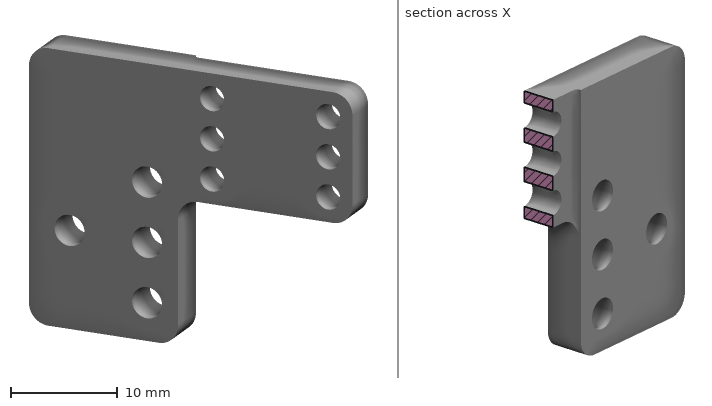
import cadquery as cq

overall_length = 33.4
overall_height = 27.6
leg_thickness = 4.0
leg_width = 15.4
arm_height = 13.0
corner_radius = 2.0

step_depth = 0.5

arm_hole_diameter = 2.5
arm_hole_top_inset = 2.5
arm_hole_end_inset = 2.49
arm_hole_pitch = 4.0
arm_column_spacing = 12.0
arm_holes_per_column = 3

leg_hole_diameter = 3.1
leg_hole_pitch = 6.0
leg_holes_per_column = 3
leg_column_x = 12.2
lowest_leg_hole_z = 3.8
single_hole_offset = 8.0

arm_underside_z = overall_height - arm_height
arm_thickness = leg_thickness - step_depth


def stepped_profile():
    """Plan section of the plate, with the quarter-round step, raised to full height."""
    return (
        cq.Workplane("XY")
        .lineTo(overall_length, 0)
        .lineTo(overall_length, arm_thickness)
        .lineTo(leg_width + step_depth, arm_thickness)
        .radiusArc((leg_width, leg_thickness), step_depth)
        .lineTo(0, leg_thickness)
        .close()
        .extrude(overall_height)
    )


def rounded_l_block():
    """L-shaped prism with every corner rounded, including the inner one."""
    return (
        cq.Workplane("XZ")
        .lineTo(leg_width, 0)
        .lineTo(leg_width, arm_underside_z)
        .lineTo(overall_length, arm_underside_z)
        .lineTo(overall_length, overall_height)
        .lineTo(0, overall_height)
        .close()
        .extrude(-leg_thickness)
        .edges("|Y")
        .fillet(corner_radius)
    )


def arm_hole_centres():
    last_column_x = overall_length - arm_hole_end_inset
    top_hole_z = overall_height - arm_hole_top_inset
    return [
        (column_x, top_hole_z - row * arm_hole_pitch)
        for column_x in (last_column_x - arm_column_spacing, last_column_x)
        for row in range(arm_holes_per_column)
    ]


def leg_hole_centres():
    column = [
        (leg_column_x, lowest_leg_hole_z + row * leg_hole_pitch)
        for row in range(leg_holes_per_column)
    ]
    single_hole = (leg_column_x - single_hole_offset, lowest_leg_hole_z + leg_hole_pitch)
    return column + [single_hole]


def through_holes(centres, diameter):
    """Cylinders along Y that pass through the full plate thickness."""
    return cq.Workplane("XZ").pushPoints(centres).circle(diameter / 2).extrude(-leg_thickness)


plate = rounded_l_block().intersect(stepped_profile())
plate = plate.cut(through_holes(arm_hole_centres(), arm_hole_diameter))
result = plate.cut(through_holes(leg_hole_centres(), leg_hole_diameter))